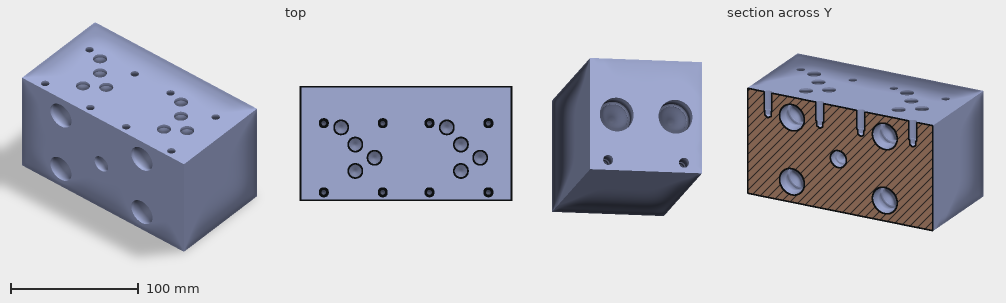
import cadquery as cq
import math

LENGTH = 165.1
SIDE = 88.8
MID_Y = SIDE / 2
MID_Z = SIDE / 2

DRILL_POINT_ANGLE = 118.0

PORT_DRILL_LEAD = 0.7
SCREW_DRILL_LEAD = 4.0

STATION_PITCH = 82.5
STATION_OFFSETS = (0, STATION_PITCH)

WORK_PORT_X = 39.6
WORK_PORT_SPACING = 54.0
WORK_PORT_BORE = 21.6
WORK_PORT_BORE_DEPTH = 19.0
WORK_PORT_DRILL = 17.5
WORK_PORT_DRILL_DEPTH = WORK_PORT_BORE_DEPTH + PORT_DRILL_LEAD

GAUGE_PORT_X = 80.9
GAUGE_PORT_BORE = 13.9
GAUGE_PORT_BORE_DEPTH = 12.5
GAUGE_PORT_DRILL = 10.7
GAUGE_PORT_DRILL_DEPTH = GAUGE_PORT_BORE_DEPTH + PORT_DRILL_LEAD

MAIN_PORT_SPACING = 46.7
MAIN_PORT_BORE = 26.9
MAIN_PORT_BORE_DEPTH = 15.8
MAIN_PORT_DRILL = 23.0
MAIN_PORT_DRILL_DEPTH = MAIN_PORT_BORE_DEPTH + PORT_DRILL_LEAD

MOUNT_SPACING = 60.3
MOUNT_Z = 8.0
MOUNT_BORE = 8.0
MOUNT_BORE_DEPTH = 15.8
MOUNT_DRILL = 6.3
MOUNT_DRILL_DEPTH = MOUNT_BORE_DEPTH + SCREW_DRILL_LEAD

BOLT_X = 18.3
BOLT_Y = 6.3
BOLT_SPACING_X = 46.0
BOLT_SPACING_Y = 54.0
BOLT_BORE = 6.6
BOLT_BORE_DEPTH = 15.8
BOLT_DRILL = 5.1
BOLT_DRILL_DEPTH = BOLT_BORE_DEPTH + SCREW_DRILL_LEAD

VALVE_PORT_DIAMETER = 11.0
VALVE_PORT_DEPTH = 3.1
VALVE_PORT_OFFSETS = (
    (13.5, 50.7),
    (24.6, 37.3),
    (39.6, BOLT_SPACING_Y / 2),
    (24.6, 16.7),
)


def drilled_hole(diameter, depth):
    """Hole from the origin along +Z, full diameter to the given depth, then a drill point."""
    radius = diameter / 2
    point_length = radius / math.tan(math.radians(DRILL_POINT_ANGLE / 2))
    return (
        cq.Workplane("XZ")
        .moveTo(0, 0)
        .lineTo(radius, 0)
        .lineTo(radius, depth)
        .lineTo(0, depth + point_length)
        .close()
        .revolve(360, (0, 0, 0), (0, 1, 0))
    )


def stepped_hole(bore, bore_depth, drill, drill_depth):
    """Flat-bottomed bore with a deeper, narrower drilled hole at its centre."""
    bore_cut = cq.Workplane("XY").circle(bore / 2).extrude(bore_depth)
    return bore_cut.union(drilled_hole(drill, drill_depth))


def into_front(hole, x, z):
    """Aim a hole along +Y from the front face."""
    return hole.rotate((0, 0, 0), (1, 0, 0), -90).translate((x, 0, z))


def into_left_end(hole, y, z):
    """Aim a hole along +X from the left end."""
    return hole.rotate((0, 0, 0), (0, 1, 0), 90).translate((0, y, z))


def into_top(hole, x, y):
    """Aim a hole along -Z from the top face."""
    return hole.rotate((0, 0, 0), (1, 0, 0), 180).translate((x, y, SIDE))


def front_holes():
    work_port = stepped_hole(
        WORK_PORT_BORE, WORK_PORT_BORE_DEPTH, WORK_PORT_DRILL, WORK_PORT_DRILL_DEPTH
    )
    gauge_port = stepped_hole(
        GAUGE_PORT_BORE, GAUGE_PORT_BORE_DEPTH, GAUGE_PORT_DRILL, GAUGE_PORT_DRILL_DEPTH
    )
    holes = [into_front(gauge_port, GAUGE_PORT_X, MID_Z)]
    for station in STATION_OFFSETS:
        for side in (-1, 1):
            z = MID_Z + side * WORK_PORT_SPACING / 2
            holes.append(into_front(work_port, WORK_PORT_X + station, z))
    return holes


def left_end_holes():
    main_port = stepped_hole(
        MAIN_PORT_BORE, MAIN_PORT_BORE_DEPTH, MAIN_PORT_DRILL, MAIN_PORT_DRILL_DEPTH
    )
    mount_hole = stepped_hole(MOUNT_BORE, MOUNT_BORE_DEPTH, MOUNT_DRILL, MOUNT_DRILL_DEPTH)
    holes = []
    for side in (-1, 1):
        holes.append(into_left_end(main_port, MID_Y + side * MAIN_PORT_SPACING / 2, MID_Z))
        holes.append(into_left_end(mount_hole, MID_Y + side * MOUNT_SPACING / 2, MOUNT_Z))
    return holes


def top_holes():
    bolt_hole = stepped_hole(BOLT_BORE, BOLT_BORE_DEPTH, BOLT_DRILL, BOLT_DRILL_DEPTH)
    valve_port = drilled_hole(VALVE_PORT_DIAMETER, VALVE_PORT_DEPTH)
    holes = []
    for station in STATION_OFFSETS:
        corner_x = BOLT_X + station
        for dx in (0, BOLT_SPACING_X):
            for dy in (0, BOLT_SPACING_Y):
                holes.append(into_top(bolt_hole, corner_x + dx, BOLT_Y + dy))
        for dx, dy in VALVE_PORT_OFFSETS:
            holes.append(into_top(valve_port, corner_x + dx, BOLT_Y + dy))
    return holes


result = cq.Workplane("XY").box(LENGTH, SIDE, SIDE, centered=False)
for hole in front_holes() + left_end_holes() + top_holes():
    result = result.cut(hole)